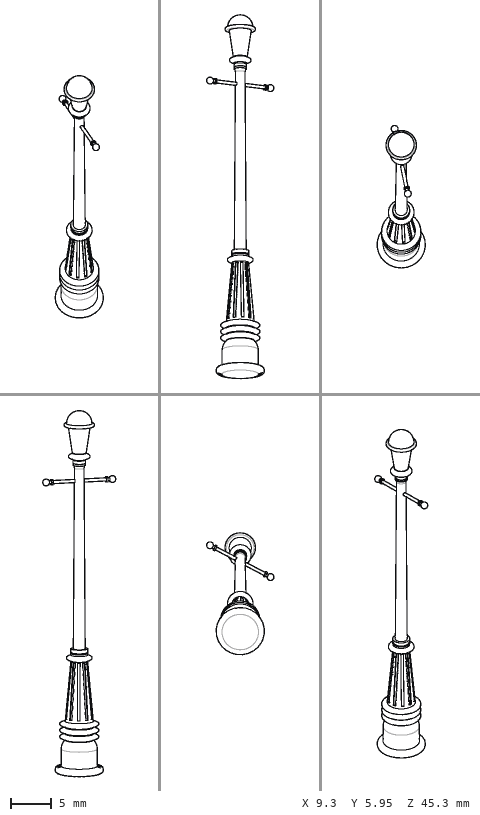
import cadquery as cq
import math

foot_radius = 2.975
foot_thickness = 0.92
foot_flank_slope = 0
drum_radius = 2.24
drum_top = 3.05
shoulder_top = 4.16

ring_count = 3
ring_neck_radius = 1.74
ring_radius = 2.42
ring_thickness = 0.7
ring_flank_slope = 0.25
ring_pitch = 0.8
first_ring_bottom = 4.22
ring_bottoms = [first_ring_bottom + i * ring_pitch for i in range(ring_count)]

cone_bottom = ring_bottoms[-1] + ring_thickness
cone_top = 14.05
cone_top_radius = 1.04
flute_count = 10
flute_width = 0.32
flute_depth = 0.16
flute_bottom = 6.85
flute_top = 13.9

collar_radius = 1.05
collar_ring_radius = 1.6
collar_ring_top = 14.77
groove_bottom = 14.98
groove_width = 0.14
groove_depth = 0.1
collar_top = 15.56

pole_bottom_radius = 0.745
pole_top_radius = 0.605
pole_top = 38.1

cuff_radius = 0.69
cuff_top = 38.48
socket_radius = 0.79
bead_bottom = 38.72
bead_top = 39.1
bead_root_radius = 0.7

lamp_ring_radius = 1.34
lamp_neck_radius = 0.8
lamp_ring_bottom = 39.22
lamp_ring_top = 39.96
holder_bottom = 40.02
holder_bottom_radius = 0.87
holder_top_radius = 1.36
rim_radius = 1.88
rim_thickness = 0.4

overall_height = 45.28
globe_radius = 1.57
globe_base = overall_height - globe_radius

arm_height = 36.54
arm_span = 9.3
rod_radius = 0.21
ball_radius = 0.43
ball_center = arm_span / 2 - ball_radius
arm_collar_radius = 0.34
arm_collar_thickness = 0.2
arm_collar_center = 3.5


def add_ring(outline, neck_radius, radius, bottom, top, flank_slope=ring_flank_slope):
    """Continue a post outline up a ring whose flanks leave the neck at a slope and round into a nose."""
    outward = (1, flank_slope)
    inward = (-1, flank_slope)
    return outline.lineTo(neck_radius, bottom).spline(
        [(radius, (bottom + top) / 2), (neck_radius, top)],
        tangents=[outward, inward],
        includeCurrent=True,
    )


def arc_to_shoulder_top(outline):
    """Curve inward from the vertical drum wall to the neck under the rings."""
    inset = drum_radius - ring_neck_radius
    rise = shoulder_top - drum_top
    curve_radius = (inset**2 + rise**2) / (2 * inset)
    half_angle = math.asin(rise / curve_radius) / 2
    middle = (
        drum_radius - curve_radius * (1 - math.cos(half_angle)),
        drum_top + curve_radius * math.sin(half_angle),
    )
    return outline.threePointArc(middle, (ring_neck_radius, shoulder_top))


def add_rim(outline):
    """Continue the holder outline around the rim, rounded below and flat under the globe."""
    round_radius = rim_thickness / 2
    rim_bottom = globe_base - rim_thickness
    flat_radius = rim_radius - round_radius
    return (
        outline.lineTo(holder_top_radius, rim_bottom)
        .lineTo(flat_radius, rim_bottom)
        .threePointArc((rim_radius, rim_bottom + round_radius), (flat_radius, globe_base))
    )


def turned_post():
    """Foot, ringed base, cone, pole, lamp holder and globe turned about Z in one outline."""
    outline = cq.Workplane("XZ").moveTo(0, 0)
    outline = add_ring(outline, drum_radius, foot_radius, 0, foot_thickness, foot_flank_slope)
    outline = outline.lineTo(drum_radius, drum_top)
    outline = arc_to_shoulder_top(outline)
    for bottom in ring_bottoms:
        outline = add_ring(outline, ring_neck_radius, ring_radius, bottom, bottom + ring_thickness)
    outline = add_ring(outline, cone_top_radius, collar_ring_radius, cone_top, collar_ring_top)
    outline = (
        outline.lineTo(collar_radius, groove_bottom)
        .lineTo(collar_radius - groove_depth, groove_bottom + groove_width / 2)
        .lineTo(collar_radius, groove_bottom + groove_width)
        .lineTo(collar_radius, collar_top)
        .lineTo(pole_bottom_radius, collar_top)
        .lineTo(pole_top_radius, pole_top)
        .lineTo(cuff_radius, cuff_top)
        .lineTo(socket_radius, cuff_top)
        .lineTo(socket_radius, bead_bottom)
    )
    outline = add_ring(outline, bead_root_radius, socket_radius, bead_bottom, bead_top)
    outline = add_ring(outline, lamp_neck_radius, lamp_ring_radius, lamp_ring_bottom, lamp_ring_top)
    outline = (
        outline.lineTo(lamp_neck_radius, holder_bottom)
        .lineTo(holder_bottom_radius, holder_bottom)
    )
    outline = add_rim(outline)
    globe_diagonal = globe_radius * math.sqrt(0.5)
    return (
        outline.lineTo(globe_radius, globe_base)
        .threePointArc((globe_diagonal, globe_base + globe_diagonal), (0, overall_height))
        .close()
        .revolve(360, (0, 0), (0, 1))
    )


def cone_radius(height):
    """Radius of the fluted cone at a height."""
    share = (height - cone_bottom) / (cone_top - cone_bottom)
    return ring_neck_radius + share * (cone_top_radius - ring_neck_radius)


def flute_cutter():
    """Square-ended slot following the cone's slope, on the +X side."""
    floor_bottom = cone_radius(flute_bottom) - flute_depth
    floor_top = cone_radius(flute_top) - flute_depth
    return (
        cq.Workplane("XZ")
        .moveTo(floor_bottom, flute_bottom)
        .lineTo(ring_radius, flute_bottom)
        .lineTo(ring_radius, flute_top)
        .lineTo(floor_top, flute_top)
        .close()
        .extrude(flute_width / 2, both=True)
    )


def make_post():
    """Turned post with its flutes cut."""
    post = turned_post()
    for i in range(flute_count):
        post = post.cut(flute_cutter().rotate((0, 0, 0), (0, 0, 1), i * 360 / flute_count))
    return post


def make_arm(angle, post):
    """Arm with a collar and an end ball, butting against the pole at an angle about Z."""
    arm_axis = cq.Workplane("YZ", origin=(0, 0, arm_height))
    rod = arm_axis.circle(rod_radius).extrude(ball_center)
    collar = (
        arm_axis.workplane(offset=arm_collar_center - arm_collar_thickness / 2)
        .circle(arm_collar_radius)
        .extrude(arm_collar_thickness)
    )
    ball = cq.Workplane("XY", origin=(ball_center, 0, arm_height)).sphere(ball_radius)
    return rod.union(collar).union(ball).rotate((0, 0, 0), (0, 0, 1), angle).cut(post)


post = make_post()
arms = [make_arm(angle, post) for angle in (0, 180)]

result = cq.Compound.makeCompound([post.val(), *[arm.val() for arm in arms]])